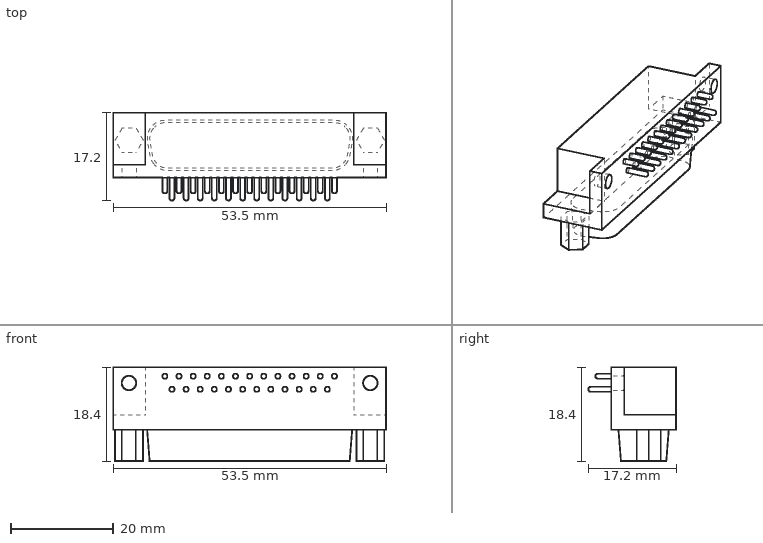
import cadquery as cq
import math

length = 53.45
depth = 12.7
height = 12.3
plate_thickness = 2.55
flange_thickness = 3.0
shoulder_length = 6.3

mount_x = 23.65
mount_hole_diameter = 2.8
mount_hole_below_top = 3.1
standoff_across_flats = 4.75
standoff_y = 7.4

shell_drop = 6.1
shell_width = 40.2
shell_depth = 9.9
shell_corner_radius = 3.6
shell_side_angle = 10.0
shell_inset = 0.5

pin_diameter = 1.0
long_row_span = 33.2
upper_pin_count = 13
lower_pin_count = upper_pin_count - 1
pin_pitch = long_row_span / (upper_pin_count - 1)
upper_row_below_top = 1.75
lower_row_below_top = 4.35
upper_pin_length = 3.1
lower_pin_length = 4.5


def make_housing():
    """Block with both upper rear corners cut away and a hole in each remaining plate end."""
    housing = cq.Workplane("XY").box(length, depth, height, centered=(True, False, False))
    for side in (-1, 1):
        corner = cq.Workplane("XY").box(
            shoulder_length,
            depth - plate_thickness,
            height - flange_thickness,
            centered=(True, False, False),
        )
        corner_x = side * (length - shoulder_length) / 2
        housing = housing.cut(corner.translate((corner_x, plate_thickness, flange_thickness)))
    hole_z = height - mount_hole_below_top
    holes = (
        cq.Workplane("XZ")
        .pushPoints([(-mount_x, hole_z), (mount_x, hole_z)])
        .circle(mount_hole_diameter / 2)
        .extrude(-plate_thickness)
    )
    return housing.cut(holes)


def make_shell():
    """Rounded D outline extruded down with an even taper."""
    angle = math.radians(shell_side_angle)
    radius = shell_corner_radius
    center_y = shell_depth / 2 - radius
    rear_x = shell_width / 2 - radius
    front_x = rear_x - 2 * center_y * math.tan(angle)

    def on_corner(center_x, y, direction):
        return (center_x + radius * math.cos(direction), y + radius * math.sin(direction))

    def mirrored(point):
        return (-point[0], point[1])

    front_mid = on_corner(front_x, -center_y, -(math.pi / 2 + angle) / 2)
    front_end = on_corner(front_x, -center_y, -angle)
    rear_start = on_corner(rear_x, center_y, -angle)
    rear_mid = on_corner(rear_x, center_y, (math.pi / 2 - angle) / 2)
    front_y = -shell_depth / 2
    rear_y = shell_depth / 2
    taper = math.degrees(math.atan(shell_inset / shell_drop))
    return (
        cq.Workplane("XY")
        .moveTo(-front_x, front_y)
        .lineTo(front_x, front_y)
        .threePointArc(front_mid, front_end)
        .lineTo(*rear_start)
        .threePointArc(rear_mid, (rear_x, rear_y))
        .lineTo(-rear_x, rear_y)
        .threePointArc(mirrored(rear_mid), mirrored(rear_start))
        .lineTo(*mirrored(front_end))
        .threePointArc(mirrored(front_mid), (-front_x, front_y))
        .close()
        .extrude(-shell_drop, taper=taper)
        .translate((0, depth / 2, 0))
    )


def make_standoffs():
    """Hexagonal posts with two corners pointing along X."""
    across_corners = standoff_across_flats / math.cos(math.pi / 6)
    return (
        cq.Workplane("XY")
        .pushPoints([(-mount_x, standoff_y), (mount_x, standoff_y)])
        .polygon(6, across_corners)
        .extrude(-shell_drop)
    )


def make_pin_row(count, pin_length, z):
    """Centred row of round pins pointing to -Y, each with a domed tip."""
    radius = pin_diameter / 2
    tip_center = radius - pin_length
    tip_mid = (radius * math.cos(math.pi / 4), tip_center - radius * math.sin(math.pi / 4))
    pin = (
        cq.Workplane("XY")
        .moveTo(0, 0)
        .lineTo(radius, 0)
        .lineTo(radius, tip_center)
        .threePointArc(tip_mid, (0, -pin_length))
        .close()
        .revolve(360, (0, 0), (0, 1))
    )
    row = cq.Workplane("XY")
    for index in range(count):
        x = (index - (count - 1) / 2) * pin_pitch
        row = row.add(pin.translate((x, 0, z)))
    return row.combine()


result = (
    make_housing()
    .union(make_shell())
    .union(make_standoffs())
    .union(make_pin_row(upper_pin_count, upper_pin_length, height - upper_row_below_top))
    .union(make_pin_row(lower_pin_count, lower_pin_length, height - lower_row_below_top))
)